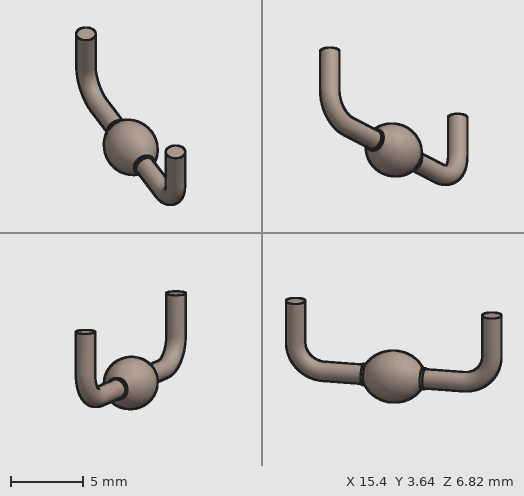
import cadquery as cq

overall_length = 15.35
wire_diameter = 1.37
bend_radius = 2.0
leg_height = 5.0

bead_diameter = 3.64
bead_length = 4.02
collar_diameter = 1.52
collar_width = 0.18

leg_x = (overall_length - wire_diameter) / 2


def make_wire():
    """Round bar swept up one leg, around both bends and up the other leg."""
    bend_start_x = leg_x - bend_radius
    path = (
        cq.Workplane("XZ")
        .moveTo(-leg_x, leg_height)
        .lineTo(-leg_x, bend_radius)
        .radiusArc((-bend_start_x, 0), -bend_radius)
        .lineTo(bend_start_x, 0)
        .radiusArc((leg_x, bend_radius), -bend_radius)
        .lineTo(leg_x, leg_height)
    )
    leg_tip = cq.Workplane("XY", origin=(-leg_x, 0, leg_height))
    return leg_tip.circle(wire_diameter / 2).sweep(path)


def make_bead():
    """Barrel-shaped bead with a short collar at each end, revolved about X."""
    bead_end_x = bead_length / 2
    collar_end_x = bead_end_x + collar_width
    collar_radius = collar_diameter / 2
    return (
        cq.Workplane("XZ")
        .moveTo(-collar_end_x, 0)
        .lineTo(-collar_end_x, collar_radius)
        .lineTo(-bead_end_x, collar_radius)
        .threePointArc((0, bead_diameter / 2), (bead_end_x, collar_radius))
        .lineTo(collar_end_x, collar_radius)
        .lineTo(collar_end_x, 0)
        .close()
        .revolve(360, (0, 0, 0), (1, 0, 0))
    )


result = make_wire().union(make_bead())